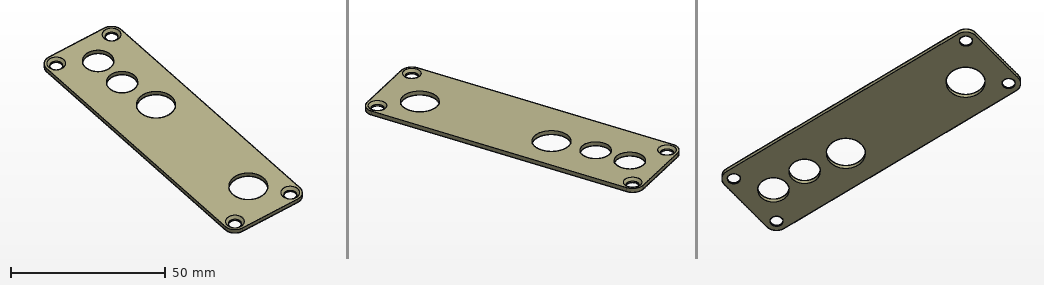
import cadquery as cq

length = 102.9
width = 30.5
thickness = 1.5
corner_radius = 3.9

screw_diameter = 4.2
countersink_diameter = 6.1
countersink_angle = 90
screw_spacing_x = length - 2 * corner_radius
screw_spacing_y = width - 2 * corner_radius

small_diameter = 10.2
small_centers = [(-40.2, 0.2), (-27.5, 0.2)]

large_diameter = 12.7
large_centers = [(-12.2, 2.4), (36.8, 2.4)]

plate = (
    cq.Workplane("XY")
    .box(length, width, thickness, centered=(True, True, False))
    .edges("|Z")
    .fillet(corner_radius)
)

plate = (
    plate.faces(">Z")
    .workplane(origin=(0, 0, thickness))
    .rect(screw_spacing_x, screw_spacing_y, forConstruction=True)
    .vertices()
    .cskHole(screw_diameter, countersink_diameter, countersink_angle)
)


def cut_openings(body, centers, diameter):
    """Cut round through openings of one diameter at the given centers."""
    return (
        body.faces(">Z")
        .workplane(origin=(0, 0, thickness))
        .pushPoints(centers)
        .hole(diameter)
    )


plate = cut_openings(plate, small_centers, small_diameter)
result = cut_openings(plate, large_centers, large_diameter)